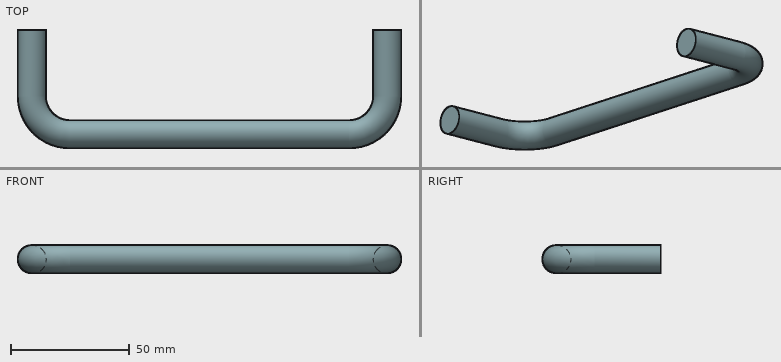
import cadquery as cq
import math

overall_length = 162.0
overall_depth = 50.0
rod_diameter = 12.0
bend_radius = 16.0

leg_x = (overall_length - rod_diameter) / 2
grip_y = -(overall_depth - rod_diameter / 2)
grip_end_x = leg_x - bend_radius
leg_bend_y = grip_y + bend_radius

bend_mid_offset = bend_radius * math.sin(math.pi / 4)
bend_mid_x = grip_end_x + bend_mid_offset
bend_mid_y = leg_bend_y - bend_mid_offset

centreline = (
    cq.Workplane("XY")
    .moveTo(-leg_x, 0)
    .lineTo(-leg_x, leg_bend_y)
    .threePointArc((-bend_mid_x, bend_mid_y), (-grip_end_x, grip_y))
    .lineTo(grip_end_x, grip_y)
    .threePointArc((bend_mid_x, bend_mid_y), (leg_x, leg_bend_y))
    .lineTo(leg_x, 0)
)

result = (
    cq.Workplane("XZ", origin=(-leg_x, 0, 0))
    .circle(rod_diameter / 2)
    .sweep(centreline)
)